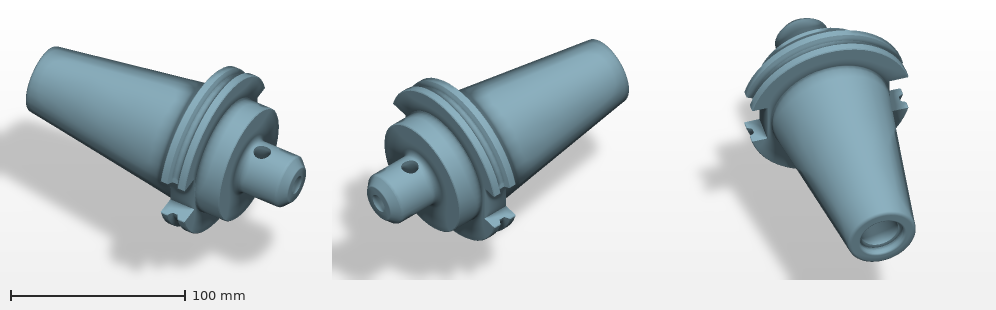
import math

import cadquery as cq

total_length = 168.17
gauge_to_boss_end = 35.0
gauge_to_flange = 3.175
flange_width = 15.875
gauge_x = 101.6
flange_start = gauge_x + gauge_to_flange
flange_end = flange_start + flange_width
boss_end = gauge_x + gauge_to_boss_end

taper_rate = 7 / 24
gauge_diameter = 69.85
neck_diameter = 70.2
taper_end = gauge_x + (neck_diameter - gauge_diameter) / taper_rate
small_end_diameter = gauge_diameter - taper_rate * gauge_x
small_end_rounding = 2.0

flange_diameter = 97.5
flange_edge_chamfer = 0.5
flange_root_fillet = 0.5
groove_offset = 7.95
groove_bottom_width = 3.4
groove_depth = 3.1
groove_flank_angle = 30
groove_bottom_fillet = 0.5

slot_width = 25.7
slot_floor_front = 35.3
slot_floor_back = 37.7

boss_diameter = 69.85
boss_edge_chamfer = 0.5
spigot_diameter = 31.72
spigot_root_fillet = 3.0
tip_chamfer = 5.0
tip_shoulder_rounding = 2.0
tip_end_rounding = 1.0

counterbore_diameter = 26.2
mouth_rounding = 1.2
counterbore_depth = 5.5
undercut_diameter = 26.7
undercut_width = 1.5
thread_bore_diameter = 21.97
thread_bore_depth = 45.0
drill_point_angle = 118
coolant_diameter = 11.11

cross_hole_diameter = 10.0
cross_hole_from_boss = 8.7

tolerance = 0.001
cut_clearance = 1.0


def revolve_about_x(points):
    """Revolve a closed outline of (x, radius) points about the X axis."""
    return cq.Workplane("XY").polyline(points).close().revolve(360, (0, 0, 0), (1, 0, 0))


def circles_at(body, x, diameter):
    """Return the circular edges of a body that lie at one place on the axis."""
    radius = diameter / 2
    box = cq.selectors.BoxSelector(
        (x - tolerance, -radius - tolerance, -radius - tolerance),
        (x + tolerance, radius + tolerance, radius + tolerance),
        boundingbox=True,
    )
    found = [
        edge
        for edge in body.edges(box).vals()
        if edge.geomType() == "CIRCLE" and abs(edge.radius() - radius) < tolerance
    ]
    return body.newObject(found)


def make_turned_body():
    neck_radius = neck_diameter / 2
    flange_radius = flange_diameter / 2
    boss_radius = boss_diameter / 2
    spigot_radius = spigot_diameter / 2
    body = revolve_about_x([
        (0, 0),
        (0, small_end_diameter / 2),
        (taper_end, neck_radius),
        (flange_start, neck_radius),
        (flange_start, flange_radius),
        (flange_end, flange_radius),
        (flange_end, boss_radius),
        (boss_end, boss_radius),
        (boss_end, spigot_radius),
        (total_length - tip_chamfer, spigot_radius),
        (total_length, spigot_radius - tip_chamfer),
        (total_length, 0),
    ])
    tip_diameter = spigot_diameter - 2 * tip_chamfer
    body = circles_at(body, 0, small_end_diameter).fillet(small_end_rounding)
    body = circles_at(body, flange_start, neck_diameter).fillet(flange_root_fillet)
    body = circles_at(body, flange_end, boss_diameter).fillet(flange_root_fillet)
    body = circles_at(body, boss_end, boss_diameter).chamfer(boss_edge_chamfer)
    body = circles_at(body, boss_end, spigot_diameter).fillet(spigot_root_fillet)
    body = circles_at(body, total_length - tip_chamfer, spigot_diameter).fillet(tip_shoulder_rounding)
    return circles_at(body, total_length, tip_diameter).fillet(tip_end_rounding)


def make_groove():
    center = flange_start + groove_offset
    bottom_half = groove_bottom_width / 2
    top_half = bottom_half + groove_depth * math.tan(math.radians(groove_flank_angle))
    top_radius = flange_diameter / 2
    bottom_radius = top_radius - groove_depth
    clear_radius = top_radius + cut_clearance
    groove = revolve_about_x([
        (center - top_half, clear_radius),
        (center - top_half, top_radius),
        (center - bottom_half, bottom_radius),
        (center + bottom_half, bottom_radius),
        (center + top_half, top_radius),
        (center + top_half, clear_radius),
    ])
    for end in (-bottom_half, bottom_half):
        groove = circles_at(groove, center + end, 2 * bottom_radius).fillet(groove_bottom_fillet)
    return groove


def cut_slot(body, side, floor_distance):
    """Cut one drive slot; side is -1 for -Y and 1 for +Y."""
    depth = flange_diameter / 2 - floor_distance
    center_x = flange_start + flange_width / 2
    center_y = side * (floor_distance + depth / 2)
    slot = cq.Workplane("XY").box(flange_width, depth, slot_width)
    return body.cut(slot.translate((center_x, center_y, 0)))


def bevel_flange(body):
    """Break the rim of the slotted flange and the slot wall edges that meet it."""
    rim_edges = [
        edge
        for face in body.faces("%CYLINDER").vals()
        for edge in face.Edges()
        if is_on_rim(edge)
    ]
    return body.newObject(rim_edges).chamfer(flange_edge_chamfer)


def is_on_rim(edge):
    """Tell whether the middle of an edge lies at the flange radius."""
    point = edge.positionAt(0.5)
    return abs(math.hypot(point.y, point.z) - flange_diameter / 2) < tolerance


def make_bore():
    counterbore_radius = counterbore_diameter / 2
    undercut_radius = undercut_diameter / 2
    thread_radius = thread_bore_diameter / 2
    coolant_radius = coolant_diameter / 2
    undercut_start = counterbore_depth - undercut_width
    point_length = (thread_radius - coolant_radius) / math.tan(math.radians(drill_point_angle / 2))
    return revolve_about_x([
        (0, 0),
        (0, counterbore_radius),
        (undercut_start, counterbore_radius),
        (undercut_start, undercut_radius),
        (counterbore_depth, undercut_radius),
        (counterbore_depth, thread_radius),
        (thread_bore_depth, thread_radius),
        (thread_bore_depth + point_length, coolant_radius),
        (total_length, coolant_radius),
        (total_length, 0),
    ])


def make_cross_hole():
    """Hole from the top of the spigot into the coolant bore."""
    return (
        cq.Workplane("XY")
        .center(boss_end + cross_hole_from_boss, 0)
        .circle(cross_hole_diameter / 2)
        .extrude(spigot_diameter)
    )


result = make_turned_body()
result = cut_slot(result, -1, slot_floor_front)
result = cut_slot(result, 1, slot_floor_back)
result = bevel_flange(result)
result = result.cut(make_groove())
result = result.cut(make_bore())
result = circles_at(result, 0, counterbore_diameter).fillet(mouth_rounding)
result = result.cut(make_cross_hole())